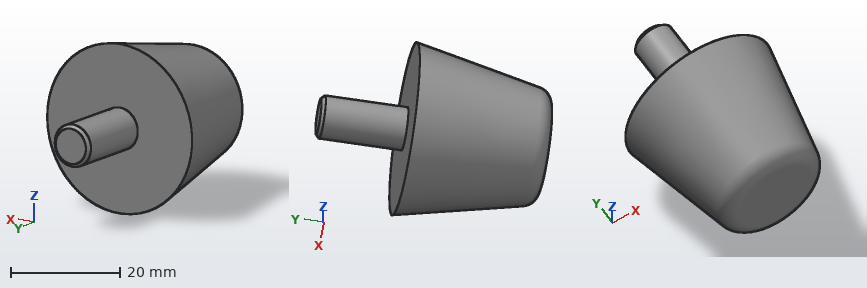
import cadquery as cq

total_length = 42.0
stud_length = 16.0
buffer_length = total_length - stud_length

base_diameter = 32.0
tip_diameter = 21.0
tip_fillet = 3.2

stud_diameter = base_diameter / 4
stud_chamfer = 0.67


def make_buffer():
    """Cone with its wide base at Y = 0 and its rounded tip towards -Y."""
    profile = (
        cq.Workplane("XY")
        .moveTo(0, 0)
        .lineTo(base_diameter / 2, 0)
        .lineTo(tip_diameter / 2, -buffer_length)
        .lineTo(0, -buffer_length)
        .close()
    )
    cone = profile.revolve(360, (0, 0, 0), (0, 1, 0))
    return cone.faces("<Y").edges().fillet(tip_fillet)


def make_stud():
    """Plain cylinder standing on the buffer's base, chamfered at its free end."""
    shank = cq.Workplane("XZ").circle(stud_diameter / 2).extrude(-stud_length)
    return shank.faces(">Y").edges().chamfer(stud_chamfer)


buffer = make_buffer()
stud = make_stud()

result = cq.Compound.makeCompound([buffer.val(), stud.val()])